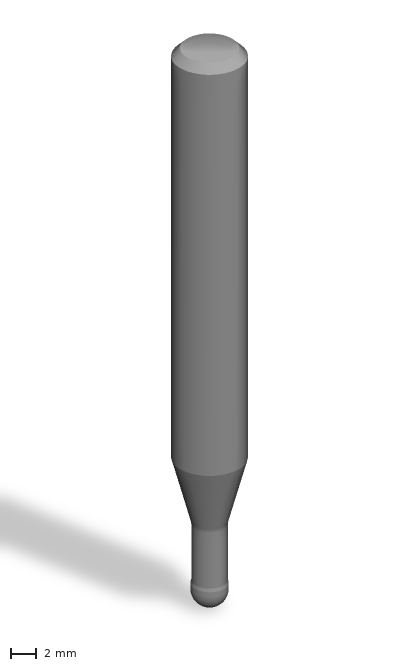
import cadquery as cq
import math

total_length = 50.0
shank_radius = 3.0
ball_radius = 1.5
neck_diameter = 2.85
neck_radius = neck_diameter / 2

cutter_top = 2.0
neck_bottom = 2.3
neck_top = 7.3
blend_top = 7.6
taper_top = 13.3

chamfer = 0.7

taper_angle = math.radians(15)
blend_height = blend_top - neck_top
blend_radius = blend_height / math.sin(taper_angle)
blend_end_radius = neck_radius + blend_radius * (1 - math.cos(taper_angle))
blend_mid_radius = neck_radius + blend_radius * (1 - math.cos(taper_angle / 2))
blend_mid_height = neck_top + blend_radius * math.sin(taper_angle / 2)


def revolve_about_z(profile):
    """Turn a closed (radius, height) profile drawn on XZ about the Z axis."""
    return profile.close().revolve(360, (0, 0, 0), (0, 1, 0))


def make_cutter():
    """Ball-ended cutting tip with a short cylindrical land."""
    ball_mid = ball_radius * math.sin(math.pi / 4)
    profile = (
        cq.Workplane("XZ")
        .moveTo(0, 0)
        .threePointArc((ball_mid, ball_radius - ball_mid), (ball_radius, ball_radius))
        .lineTo(ball_radius, cutter_top)
        .lineTo(0, cutter_top)
    )
    return revolve_about_z(profile)


def make_shank():
    """Slim neck blending into a long taper and a chamfered cylindrical shank."""
    profile = (
        cq.Workplane("XZ")
        .moveTo(0, cutter_top)
        .lineTo(ball_radius, cutter_top)
        .lineTo(neck_radius, neck_bottom)
        .lineTo(neck_radius, neck_top)
        .threePointArc((blend_mid_radius, blend_mid_height), (blend_end_radius, blend_top))
        .lineTo(shank_radius, taper_top)
        .lineTo(shank_radius, total_length - chamfer)
        .lineTo(shank_radius - chamfer, total_length)
        .lineTo(0, total_length)
    )
    return revolve_about_z(profile)


def center_on_origin(body):
    """Place the middle of the tool's length at the origin."""
    return body.translate((0, 0, -total_length / 2))


cutter = center_on_origin(make_cutter())
shank = center_on_origin(make_shank())

result = cq.Compound.makeCompound([cutter.val(), shank.val()])